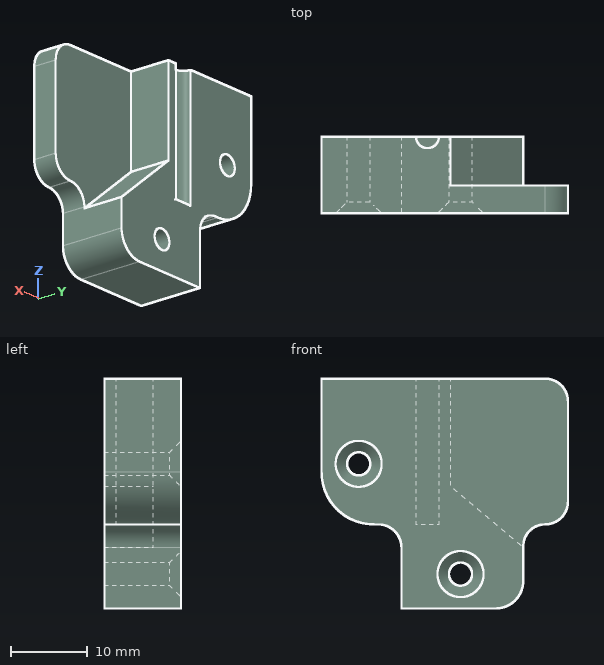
import cadquery as cq
import math

length = 32.17
depth = 10.0
height = 30.0

wing_bottom = 10.97
leg_left = 10.42
leg_right = 26.35
left_corner_radius = 6.82
leg_corner_radius = 3.65
plate_corner_radius = 3.0
left_blend_radius = 3.0
right_blend_radius = 2.8

plate_thickness = 3.67
relief_left = 16.85
relief_slope_bottom = wing_bottom - left_blend_radius
relief_slope_angle = 40
relief_slope_rise = (leg_right - relief_left) * math.tan(math.radians(relief_slope_angle))
relief_slope_top = relief_slope_bottom + relief_slope_rise

hole_diameter = 3.0
countersink_diameter = 6.0
countersink_angle = 90
hole_centers = [(4.85, 18.88), (18.15, 4.5)]
groove_center_x = 13.83
groove_diameter = 3.0
groove_bottom = wing_bottom


def extrude_back(outline, start_y, end_y):
    """Extrude an XZ outline from start_y to end_y."""
    return outline.extrude(start_y - end_y).translate((0, start_y, 0))


def make_body():
    """Full-depth body with a wide upper part and a narrower leg."""
    outline = (
        cq.Workplane("XZ")
        .moveTo(0, height)
        .lineTo(length, height)
        .lineTo(length, wing_bottom)
        .lineTo(leg_right, wing_bottom)
        .lineTo(leg_right, 0)
        .lineTo(leg_left, 0)
        .lineTo(leg_left, wing_bottom)
        .lineTo(0, wing_bottom)
        .close()
    )
    return extrude_back(outline, 0, depth)


def round_corner(body, x, z, radius):
    """Round the depth-wise edge that passes through (x, z)."""
    edge = cq.selectors.NearestToPointSelector((x, depth / 2, z))
    return body.edges("|Y").edges(edge).fillet(radius)


def make_relief():
    """Cutter behind the plate, with a floor sloping down to the leg's side."""
    outline = (
        cq.Workplane("XZ")
        .moveTo(relief_left, height)
        .lineTo(length, height)
        .lineTo(length, relief_slope_bottom)
        .lineTo(leg_right, relief_slope_bottom)
        .lineTo(relief_left, relief_slope_top)
        .close()
    )
    return extrude_back(outline, plate_thickness, depth)


def make_groove():
    """Vertical half-round cutter, open at the top and centered on the back face."""
    return (
        cq.Workplane("XY", origin=(groove_center_x, depth, groove_bottom))
        .circle(groove_diameter / 2)
        .extrude(height - groove_bottom)
    )


body = make_body()
body = round_corner(body, 0, wing_bottom, left_corner_radius)
body = round_corner(body, leg_right, 0, leg_corner_radius)
body = round_corner(body, length, height, plate_corner_radius)
body = round_corner(body, length, wing_bottom, plate_corner_radius)
body = round_corner(body, leg_left, wing_bottom, left_blend_radius)
body = round_corner(body, leg_right, wing_bottom, right_blend_radius)

body = body.cut(make_relief()).cut(make_groove())

result = (
    body.faces("<Y")
    .workplane(origin=(0, 0, 0))
    .pushPoints(hole_centers)
    .cskHole(hole_diameter, countersink_diameter, countersink_angle)
)